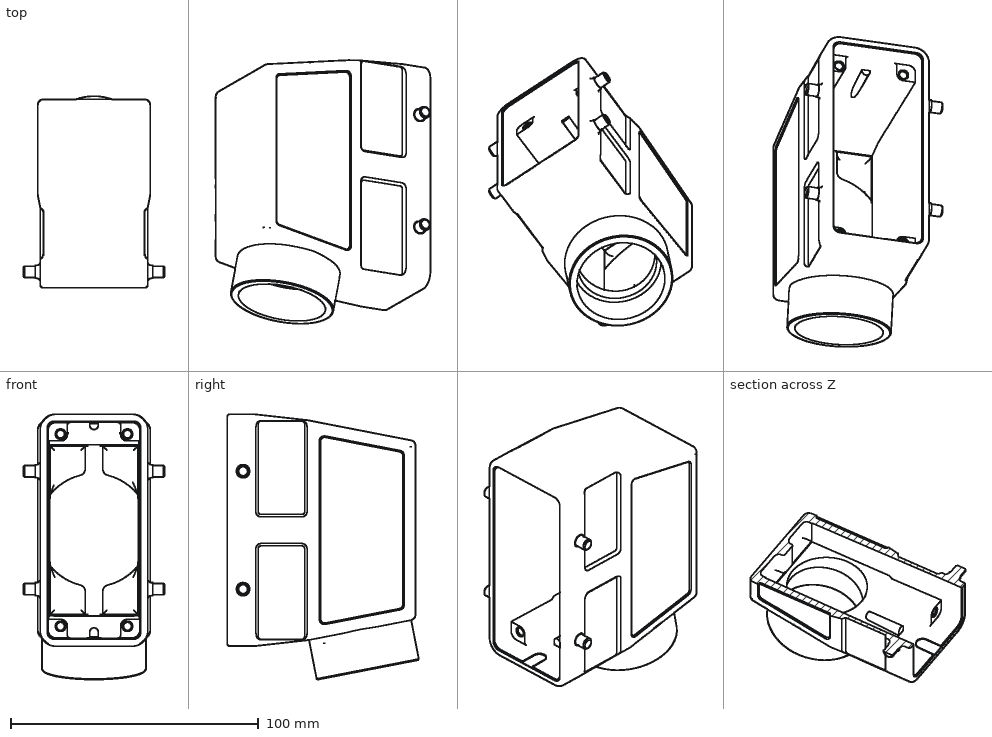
import cadquery as cq
import math


mouth_half_width = 21.67
back_half_width = 22.7
mouth_half_height = 46.8
taper_start_y = 11.0
shoulder_y = 32.2
shoulder_half_height = 44.4
flare_end_y = 37.2
back_y = 76.0
roof_angle = 11.0
mouth_corner_radius = 6.2
body_corner_radius = 2.8
back_fillet = 2.4
rim_fillet = 1.1
roof_slope = math.tan(math.radians(roof_angle))

mouth_wall = 3.2
cavity_corner_radius = 3.0
mouth_chamfer = 0.4
cavity_draft = 0.5
pad_face_y = 70.6
mouth_depth = 11.6
chamber_start_z = 43.3
ceiling_bend_z = 41.5
ceiling_back_z = 34.4
entry_wall_y = 33.2
entry_wall_foot_z = -41.6
entry_deck_front_z = -34.8
entry_deck_back_z = -34.5
entry_wall_foot_radius = 1.3
entry_deck_edge_radius = 1.6

pad_radius = 22.8
pad_bar_half_width = 3.5
pocket_half_width = 17.7
pocket_half_height = 33.9
pocket_depth = 3.2
pocket_fillet = 2.0
pad_neck_radius = 2.7
pad_edge_fillet = 1.0

boss_face_y = 9.8
screw_x = 13.5
screw_z = 38.7
boss_radius = 2.8
boss_foot_fillet = 0.9
screw_hole_diameter = 3.2
screw_sink_diameter = 4.2
screw_hole_depth = 16.0

rib_radius = 1.7
ceiling_rib_tip_z = 40.6
floor_rib_tip_z = -39.4
rib_front_y = 17.5
rib_length = 19.3
key_slot_width = 5.6
key_slot_end_y = 10.1
key_slot_depth = 0.3

window_depth = 1.4
window_draft = 35.0
window_front_y = 11.6
window_near_z = 5.4
window_far_z = 45.0
window_corner_radius = 2.1
label_front_y = 37.1
label_back_y = 71.4
label_margin = 5.0
label_corner_radius = 2.1
label_recess_depth = 0.4
label_edge_width = 0.5
plate_thickness = 0.6

peg_y = 6.4
peg_z = 23.8
peg_radius = 2.4
peg_tip_x = 28.52
peg_chamfer = 0.5
peg_boss_radius = 2.7
peg_boss_tip_x = 23.7
peg_root_fillet = 1.4

collar_radius = 21.03
collar_center_y = 53.6
collar_length = 16.4
collar_root = 2.1
collar_chamfer = 0.4
thread_bore_diameter = 35.6
thread_depth = 13.9
inner_bore_diameter = 32.0


def roof_z(y):
    """Height of the sloping roof of the shell behind the shoulder."""
    return shoulder_half_height - roof_slope * (y - shoulder_y)


def plane_at(y):
    """Plane normal to +Y whose local axes are X and -Z."""
    return cq.Plane(origin=(0, y, 0), xDir=(1, 0, 0), normal=(0, 1, 0))


def side_plane(side, x):
    """Plane facing outward from one side; its local x axis runs along side * Y."""
    return cq.Plane(origin=(side * x, 0, 0), xDir=(0, side, 0), normal=(side, 0, 0))


def section_loft(front, back):
    """Straight-sided solid between two (y, half width, half height, corner radius) sections."""
    sketches = []
    for y, half_width, half_height, radius in (front, back):
        sketch = cq.Sketch().rect(2 * half_width, 2 * half_height).vertices().fillet(radius)
        sketches.append(sketch.moved(cq.Location(cq.Vector(0, 0, y - front[0]))))
    return cq.Workplane(plane_at(front[0])).placeSketch(*sketches).loft(ruled=True)


def make_outer_shell():
    stations = [
        (0, mouth_half_width, mouth_half_height, mouth_corner_radius),
        (taper_start_y, mouth_half_width, mouth_half_height, mouth_corner_radius),
        (shoulder_y, mouth_half_width, shoulder_half_height, body_corner_radius),
        (flare_end_y, back_half_width, roof_z(flare_end_y), body_corner_radius),
        (back_y, back_half_width, roof_z(back_y), body_corner_radius),
    ]
    shell = section_loft(stations[0], stations[1])
    for front, back in zip(stations[1:-1], stations[2:]):
        shell = shell.union(section_loft(front, back))
    shell = shell.faces(">Y").edges().fillet(back_fillet)
    return shell.faces("<Y").edges().fillet(rim_fillet)


def make_cavity():
    half_width = mouth_half_width - mouth_wall
    half_height = mouth_half_height - mouth_wall
    mouth = section_loft(
        (0, half_width, half_height, cavity_corner_radius),
        (mouth_depth, half_width, chamber_start_z, cavity_corner_radius),
    )
    mouth_flare = section_loft(
        (0, half_width + mouth_chamfer, half_height + mouth_chamfer, cavity_corner_radius),
        (mouth_chamfer, half_width, half_height, cavity_corner_radius),
    )
    side_profile = [
        (mouth_depth, chamber_start_z),
        (shoulder_y, ceiling_bend_z),
        (pad_face_y, ceiling_back_z),
        (pad_face_y, entry_deck_back_z),
        (entry_wall_y, entry_deck_front_z),
        (entry_wall_y, entry_wall_foot_z),
        (mouth_depth, -chamber_start_z),
    ]
    chamber = cq.Workplane("YZ").polyline(side_profile).close().extrude(half_width, both=True)
    foot_edge = cq.selectors.NearestToPointSelector((0, entry_wall_y, entry_wall_foot_z))
    deck_edge = cq.selectors.NearestToPointSelector((0, entry_wall_y, entry_deck_front_z))
    chamber = chamber.edges(foot_edge).fillet(entry_wall_foot_radius)
    chamber = chamber.edges(deck_edge).fillet(entry_deck_edge_radius)
    back_width = half_width - cavity_draft
    plan = [
        (-half_width, mouth_depth),
        (half_width, mouth_depth),
        (back_width, pad_face_y),
        (-back_width, pad_face_y),
    ]
    drafted = cq.Workplane("XY").polyline(plan).close().extrude(mouth_half_height, both=True)
    return mouth.union(mouth_flare).union(chamber.intersect(drafted))


def make_pad():
    """Round pad with a vertical bar, rounded where they join and along the front edge."""
    plane = plane_at(pad_face_y)
    pad = cq.Workplane(plane).circle(pad_radius).extrude(pocket_depth)
    bar = cq.Workplane(plane).rect(2 * pad_bar_half_width, 2 * mouth_half_height).extrude(pocket_depth)
    pad = pad.union(bar)
    neck_x = pad_bar_half_width
    neck_z = math.sqrt(pad_radius**2 - pad_bar_half_width**2)
    for x in (-neck_x, neck_x):
        for z in (-neck_z, neck_z):
            neck_edge = cq.selectors.NearestToPointSelector((x, pad_face_y + pocket_depth / 2, z))
            pad = pad.edges(neck_edge).fillet(pad_neck_radius)
    return pad.faces("<Y").edges().fillet(pad_edge_fillet)


def make_relief_pockets():
    """Corner pockets left around the pad, rounded along their floors."""
    block = cq.Workplane(plane_at(pad_face_y))
    block = block.rect(2 * pocket_half_width, 2 * pocket_half_height).extrude(pocket_depth)
    return block.cut(make_pad()).faces(">Y").edges().fillet(pocket_fillet)


def make_screw_bosses():
    """Corner columns from the boss face to the back wall, rounded about the screw axis."""
    length = pad_face_y - boss_face_y
    bosses = cq.Workplane("XY")
    for x_side in (-1, 1):
        for z_side in (-1, 1):
            x = x_side * screw_x
            z = z_side * screw_z
            outer_x = x_side * mouth_half_width
            outer_z = z_side * mouth_half_height
            inner_x = x - x_side * boss_radius
            inner_z = z - z_side * boss_radius
            diagonal = boss_radius / math.sqrt(2)
            bosses = bosses.add(
                cq.Workplane("XZ", origin=(0, boss_face_y, 0))
                .moveTo(outer_x, outer_z)
                .lineTo(inner_x, outer_z)
                .lineTo(inner_x, z)
                .threePointArc((x - x_side * diagonal, z - z_side * diagonal), (x, inner_z))
                .lineTo(outer_x, inner_z)
                .close()
                .extrude(-length)
            )
    return bosses.combine()


def make_screw_holes():
    points = [(x, z) for x in (-screw_x, screw_x) for z in (-screw_z, screw_z)]
    holes = cq.Workplane(plane_at(boss_face_y)).pushPoints(points)
    holes = holes.circle(screw_hole_diameter / 2).extrude(screw_hole_depth)
    sink_depth = (screw_sink_diameter - screw_hole_diameter) / 2
    sinks = cq.Workplane(plane_at(boss_face_y)).pushPoints(points)
    sinks = sinks.circle(screw_sink_diameter / 2).extrude(sink_depth, taper=45)
    return holes.union(sinks)


def make_key_rib(tip_z, side):
    """Round-nosed rib; side is +1 for the ceiling and -1 for the floor."""
    nose_z = tip_z + side * rib_radius
    root_z = side * (mouth_half_height - mouth_wall / 2)
    return (
        cq.Workplane("XZ", origin=(0, rib_front_y, 0))
        .moveTo(-rib_radius, root_z)
        .lineTo(-rib_radius, nose_z)
        .threePointArc((0, tip_z), (rib_radius, nose_z))
        .lineTo(rib_radius, root_z)
        .close()
        .extrude(-rib_length)
    )


def make_key_slot():
    """Shallow slot with a round end in the floor of the mouth."""
    bottom_z = mouth_wall - mouth_half_height - key_slot_depth
    radius = key_slot_width / 2
    straight = key_slot_end_y - radius
    return (
        cq.Workplane("XY", origin=(0, 0, bottom_z))
        .moveTo(-radius, 0)
        .lineTo(-radius, straight)
        .threePointArc((0, key_slot_end_y), (radius, straight))
        .lineTo(radius, 0)
        .close()
        .extrude(mouth_wall)
    )


def make_window(side, z_side):
    """Drafted recess in the front half of one side."""
    length = shoulder_y - window_front_y
    height = window_far_z - window_near_z
    center_y = window_front_y + length / 2
    center_z = z_side * (window_near_z + height / 2)
    sketch = cq.Sketch().rect(length, height).vertices().fillet(window_corner_radius)
    return (
        cq.Workplane(side_plane(side, mouth_half_width))
        .center(side * center_y, center_z)
        .placeSketch(sketch)
        .extrude(-window_depth, taper=window_draft)
    )


def make_label_prism(side, x, inset, depth, draft=0):
    """Inward prism with the rounded outline of the label, parallel to the roof and underside."""
    front_y = label_front_y + inset
    rear_y = label_back_y - inset
    front_z = roof_z(front_y) - label_margin - inset
    rear_z = roof_z(rear_y) - label_margin - inset
    outline = [
        (side * front_y, -front_z),
        (side * rear_y, -rear_z),
        (side * rear_y, rear_z),
        (side * front_y, front_z),
        (side * front_y, -front_z),
    ]
    sketch = cq.Sketch().polygon(outline).vertices().fillet(label_corner_radius - inset)
    return cq.Workplane(side_plane(side, x)).placeSketch(sketch).extrude(-depth, taper=draft)


def make_peg(side, z):
    """Peg on a filleted boss, turned about an axis along X."""
    root_x = mouth_half_width - 1.1
    fillet_x = mouth_half_width + peg_root_fillet
    root_radius = peg_boss_radius + peg_root_fillet
    sag = peg_root_fillet * (1 - 1 / math.sqrt(2))
    return (
        cq.Workplane("XY")
        .moveTo(side * root_x, 0)
        .lineTo(side * root_x, root_radius)
        .lineTo(side * mouth_half_width, root_radius)
        .threePointArc(
            (side * (mouth_half_width + sag), peg_boss_radius + sag),
            (side * fillet_x, peg_boss_radius),
        )
        .lineTo(side * peg_boss_tip_x, peg_boss_radius)
        .lineTo(side * peg_boss_tip_x, peg_radius)
        .lineTo(side * (peg_tip_x - peg_chamfer), peg_radius)
        .lineTo(side * peg_tip_x, peg_radius - peg_chamfer)
        .lineTo(side * peg_tip_x, 0)
        .close()
        .revolve(360, (0, 0, 0), (1, 0, 0))
        .translate((0, peg_y, z))
    )


def collar_plane():
    """Plane on the sloping underside, facing out along the collar axis."""
    tilt = math.radians(roof_angle)
    origin = (0, collar_center_y, -roof_z(collar_center_y))
    return cq.Plane(origin=origin, xDir=(1, 0, 0), normal=(0, math.sin(tilt), -math.cos(tilt)))


def make_collar():
    collar = cq.Workplane(collar_plane()).workplane(offset=-collar_root)
    collar = collar.circle(collar_radius).extrude(collar_root + collar_length)
    tip_edge = cq.selectors.NearestToPointSelector(
        collar_plane().toWorldCoords((0, collar_radius, collar_length)).toTuple()
    )
    return collar.edges(tip_edge).chamfer(collar_chamfer)


def make_collar_bore():
    """Stepped bore that opens into the cavity through the entry deck."""
    reach = shoulder_half_height + entry_deck_front_z
    inner = cq.Workplane(collar_plane()).workplane(offset=-reach)
    inner = inner.circle(inner_bore_diameter / 2).extrude(reach + collar_length)
    thread = cq.Workplane(collar_plane()).workplane(offset=collar_length - thread_depth)
    return inner.union(thread.circle(thread_bore_diameter / 2).extrude(thread_depth))


def make_hood():
    hood = make_outer_shell().union(make_collar()).cut(make_collar_bore())
    cavity = make_cavity().cut(make_screw_bosses())
    for x in (boss_radius - screw_x, screw_x - boss_radius):
        for z in (ceiling_bend_z, entry_wall_foot_z):
            foot_edge = cq.selectors.NearestToPointSelector((x, (mouth_depth + shoulder_y) / 2, z))
            cavity = cavity.edges(foot_edge).fillet(boss_foot_fillet)
    cavity = cavity.cut(make_key_rib(ceiling_rib_tip_z, 1)).cut(make_key_rib(floor_rib_tip_z, -1))
    hood = hood.cut(cavity).cut(make_relief_pockets())
    hood = hood.cut(make_screw_holes()).cut(make_key_slot())
    label_draft = math.degrees(math.atan(label_edge_width / label_recess_depth))
    for side in (-1, 1):
        for z_side in (-1, 1):
            hood = hood.cut(make_window(side, z_side))
            hood = hood.union(make_peg(side, z_side * peg_z))
        hood = hood.cut(make_label_prism(side, back_half_width, 0, label_recess_depth, label_draft))
        hood = hood.cut(make_label_plate(side))
    return hood


def make_label_plate(side):
    """Flat plate that fills the bottom of a label recess."""
    return make_label_prism(side, back_half_width - label_recess_depth, label_edge_width, plate_thickness)


hood = make_hood()
label_plates = [make_label_plate(side) for side in (-1, 1)]

result = cq.Compound.makeCompound([hood.val(), *[plate.val() for plate in label_plates]])